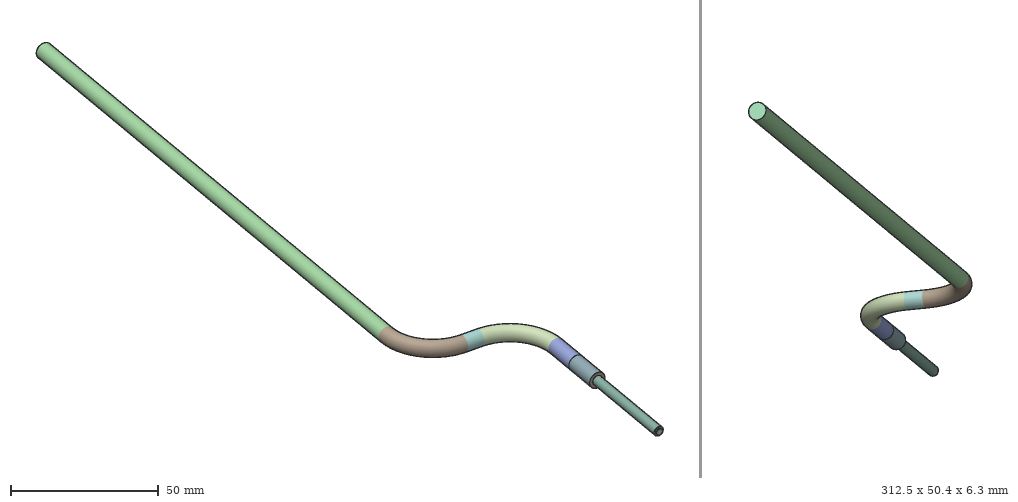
import cadquery as cq

outer_diameter = 6.3
long_leg = 211.3
bend_radius = 18.8
cross_leg = 6.5
short_leg = 12.5

collar_length = 12.8

total_length = 312.5
wire_diameter = 3.8
core_diameter = 2.5
core_protrusion = 0.5

cross_leg_x = long_leg + bend_radius
upper_leg_x = cross_leg_x + bend_radius
upper_leg_y = 2 * bend_radius + cross_leg
rod_end_x = upper_leg_x + short_leg
collar_end_x = rod_end_x + collar_length
wire_end_x = total_length - core_protrusion


def cylinder_along_x(start_x, end_x, diameter):
    """Round bar on the axis of the upper leg."""
    return (
        cq.Workplane("YZ", origin=(start_x, upper_leg_y, 0))
        .circle(diameter / 2)
        .extrude(end_x - start_x)
    )


def make_rod():
    """Solid S-bent bar: two quarter bends joined by a short cross leg."""
    path = (
        cq.Workplane("XY")
        .lineTo(long_leg, 0)
        .tangentArcPoint((cross_leg_x, bend_radius), relative=False)
        .lineTo(cross_leg_x, bend_radius + cross_leg)
        .tangentArcPoint((upper_leg_x, upper_leg_y), relative=False)
        .lineTo(rod_end_x, upper_leg_y)
    )
    return cq.Workplane("YZ").circle(outer_diameter / 2).sweep(path)


def make_collar():
    """Plain cylinder butted against the end of the rod."""
    return cylinder_along_x(rod_end_x, collar_end_x, outer_diameter)


def make_core():
    """Thin conductor running through the insulation and out past its end."""
    return cylinder_along_x(collar_end_x, total_length, core_diameter)


def make_insulation():
    """Sleeve around the core, butted against the collar."""
    sleeve = cylinder_along_x(collar_end_x, wire_end_x, wire_diameter)
    return sleeve.cut(make_core())


rod = make_rod()
collar = make_collar()
insulation = make_insulation()
core = make_core()

result = cq.Compound.makeCompound([rod.val(), collar.val(), insulation.val(), core.val()])